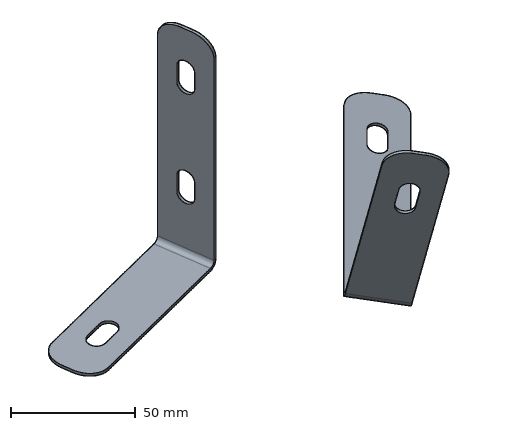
import cadquery as cq

width = 27.34
depth = 86.85
height = 119.55
thickness = 1.5
bend_outer_radius = 4.0

tip_flat = 5.5
tip_corner_drop = 9.2

slot_width = 8.6
slot_length = 17.1
slot_from_tip = 25.35
slot_pitch = 58.0

tip_corner_run = (width - tip_flat) / 2


def bent_strip():
    """L-shaped sheet, outer faces on Y = 0 and Z = 0, centred on X = 0."""
    bend_inner_radius = bend_outer_radius - thickness
    outline = (
        cq.Workplane("YZ", origin=(-width / 2, 0, 0))
        .moveTo(-depth, 0)
        .lineTo(-bend_outer_radius, 0)
        .radiusArc((0, bend_outer_radius), -bend_outer_radius)
        .lineTo(0, height)
        .lineTo(-thickness, height)
        .lineTo(-thickness, bend_outer_radius)
        .radiusArc((-bend_outer_radius, thickness), bend_inner_radius)
        .lineTo(-depth, thickness)
        .close()
    )
    return outline.extrude(width)


def leg_blank(plane, leg_length):
    """Flat outline of one leg with its rounded tip, extruded past the other leg."""
    side = width / 2
    flat_end = tip_flat / 2
    shoulder = leg_length - tip_corner_drop
    span = max(depth, height)
    return (
        cq.Workplane(plane)
        .moveTo(-side, 0)
        .lineTo(side, 0)
        .lineTo(side, shoulder)
        .ellipseArc(tip_corner_run, tip_corner_drop, 0, 90, startAtCurrent=True)
        .lineTo(-flat_end, leg_length)
        .ellipseArc(tip_corner_run, tip_corner_drop, 90, 180, startAtCurrent=True)
        .close()
        .extrude(span, both=True)
    )


def slot_cutter(plane, distance_from_bend):
    """Round-ended slot lying along a leg, cut through the sheet."""
    return (
        cq.Workplane(plane)
        .center(0, distance_from_bend)
        .slot2D(slot_length, slot_width, angle=90)
        .extrude(2 * thickness, both=True)
    )


upright_plane = cq.Plane(origin=(0, 0, 0), xDir=(1, 0, 0), normal=(0, -1, 0))
base_plane = cq.Plane(origin=(0, 0, 0), xDir=(1, 0, 0), normal=(0, 0, -1))

result = bent_strip()
for leg_plane, leg_length in ((upright_plane, height), (base_plane, depth)):
    result = result.intersect(leg_blank(leg_plane, leg_length))

upper_slot = height - slot_from_tip
for slot_height in (upper_slot, upper_slot - slot_pitch):
    result = result.cut(slot_cutter(upright_plane, slot_height))
result = result.cut(slot_cutter(base_plane, depth - slot_from_tip))